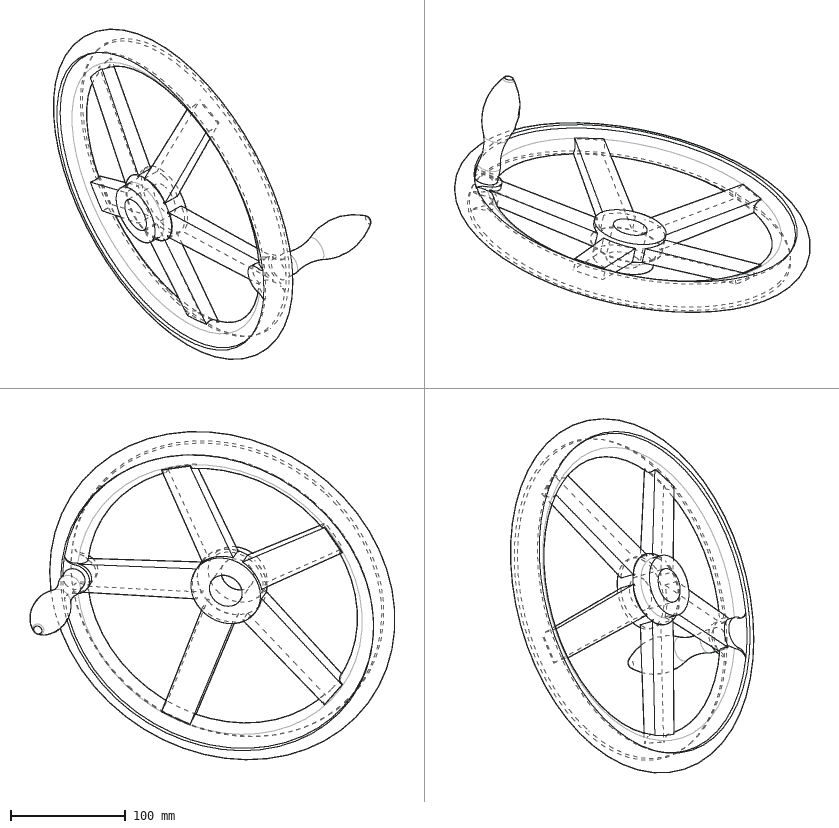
import cadquery as cq


wheel_radius = 157.5
rim_round = 14.2
rim_centre_radius = wheel_radius - rim_round
lip_radius = 142.5
lip_half_width = 11.3
cone_inner_radius = 130.7
cone_inner_half_width = 7.5
rim_inner_radius = 124.0

bore_diameter = 30.0
hub_nose_radius = 54.0 / 2
hub_body_radius = 31.8
hub_front_y = -42.0
hub_shoulder_y = -27.5
hub_back_y = -9.5
hub_fillet = hub_body_radius - hub_nose_radius

spoke_count = 5
spoke_width_hub = 29.5
spoke_width_rim = 27.5
spoke_hub_radius = 28.5
spoke_rim_radius = 129.0
spoke_front_hub_y = -27.5
spoke_front_rim_y = -3.5
spoke_thickness_hub = 14.0
spoke_thickness_rim = 12.0

handle_x = 132.0
handle_base_radius = 20.0 / 2
handle_base_y = 24.5
neck_radius = 8.2
neck_y = 37.8
grip_start_radius = 10.7
grip_start_y = 53.2
grip_radius = 16.0
grip_y = 75.5
tip_radius = 5.0
tip_y = 110.0
handle_end_y = 111.5
handle_end_radius = 3.8
boss_radius = 14.2
boss_half_width = 11.3
boss_flare_radius = 9.0


def revolve_about_y(profile, x=0):
    """Turn a closed XY profile about the line parallel to Y at the given x."""
    return profile.revolve(360, (x, 0, 0), (x, 1, 0))


def make_rim():
    """Round outside and a narrower round bead inside, joined by a cone on each face."""
    profile = (
        cq.Workplane("XY")
        .moveTo(rim_centre_radius, -rim_round)
        .threePointArc((wheel_radius, 0), (rim_centre_radius, rim_round))
        .lineTo(lip_radius, lip_half_width)
        .lineTo(cone_inner_radius, cone_inner_half_width)
        .threePointArc((rim_inner_radius, 0), (cone_inner_radius, -cone_inner_half_width))
        .lineTo(lip_radius, -lip_half_width)
        .close()
    )
    return revolve_about_y(profile)


def make_hub():
    profile = (
        cq.Workplane("XY")
        .moveTo(0, hub_front_y)
        .lineTo(hub_nose_radius, hub_front_y)
        .lineTo(hub_nose_radius, hub_shoulder_y - hub_fillet)
        .radiusArc((hub_body_radius, hub_shoulder_y), hub_fillet)
        .lineTo(hub_body_radius, hub_back_y)
        .lineTo(0, hub_back_y)
        .close()
    )
    return revolve_about_y(profile)


def make_spoke():
    """One spoke along +X, sloping back from hub to rim and tapering in width and thickness."""
    slope = (spoke_front_rim_y - spoke_front_hub_y) / (spoke_rim_radius - spoke_hub_radius)
    inner_radius = hub_body_radius - hub_fillet
    inner_y = spoke_front_hub_y + slope * (inner_radius - spoke_hub_radius)
    side = (
        cq.Workplane("XY")
        .moveTo(inner_radius, inner_y)
        .lineTo(spoke_rim_radius, spoke_front_rim_y)
        .lineTo(spoke_rim_radius, spoke_front_rim_y + spoke_thickness_rim)
        .lineTo(inner_radius, inner_y + spoke_thickness_hub)
        .close()
        .extrude(spoke_width_hub, both=True)
    )
    plan = (
        cq.Workplane("XZ")
        .moveTo(inner_radius, -spoke_width_hub / 2)
        .lineTo(spoke_rim_radius, -spoke_width_rim / 2)
        .lineTo(spoke_rim_radius, spoke_width_rim / 2)
        .lineTo(inner_radius, spoke_width_hub / 2)
        .close()
        .extrude(wheel_radius, both=True)
    )
    return side.intersect(plan)


def make_boss():
    """Round pad in the rim under the handle, flaring outward into the rim lip."""
    flare_z = boss_radius + boss_flare_radius
    outer_x = handle_x + boss_flare_radius
    pad = (
        cq.Workplane("XZ")
        .moveTo(handle_x, boss_radius)
        .threePointArc((handle_x - boss_radius, 0), (handle_x, -boss_radius))
        .radiusArc((outer_x, -flare_z), boss_flare_radius)
        .lineTo(rim_centre_radius, -flare_z)
        .lineTo(rim_centre_radius, flare_z)
        .lineTo(outer_x, flare_z)
        .radiusArc((handle_x, boss_radius), boss_flare_radius)
        .close()
        .extrude(boss_half_width, both=True)
    )
    rim_disc = cq.Workplane("XZ").circle(rim_centre_radius).extrude(rim_round, both=True)
    return pad.intersect(rim_disc)


def make_handle():
    profile = (
        cq.Workplane("XY")
        .moveTo(handle_x, 0)
        .lineTo(handle_x + handle_base_radius, 0)
        .lineTo(handle_x + handle_base_radius, handle_base_y)
        .threePointArc(
            (handle_x + neck_radius, neck_y),
            (handle_x + grip_start_radius, grip_start_y),
        )
        .spline(
            [(handle_x + grip_radius, grip_y), (handle_x + tip_radius, tip_y)],
            includeCurrent=True,
        )
        .lineTo(handle_x + handle_end_radius, handle_end_y)
        .lineTo(handle_x, handle_end_y)
        .close()
    )
    return revolve_about_y(profile, handle_x)


wheel = make_rim().union(make_hub())
for index in range(spoke_count):
    angle = index * 360 / spoke_count
    wheel = wheel.union(make_spoke().rotate((0, 0, 0), (0, 1, 0), angle))
wheel = wheel.union(make_boss()).union(make_handle())

bore = cq.Workplane("XZ").circle(bore_diameter / 2).extrude(wheel_radius, both=True)
result = wheel.cut(bore)